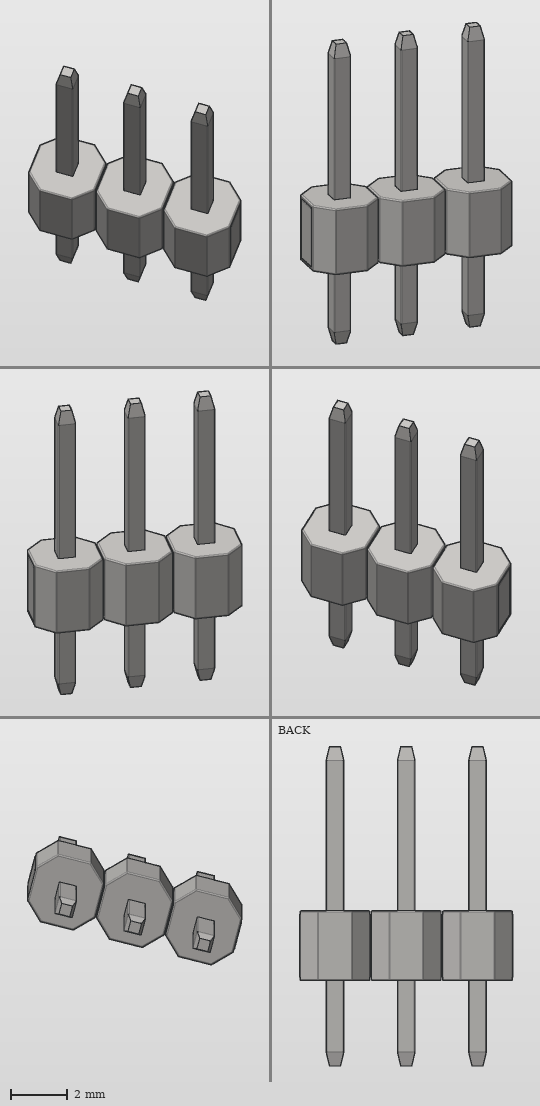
import cadquery as cq

unit_count = 3
pitch = 2.54

block_depth = 2.54
block_height = 2.5
corner_cut = 0.64
block_fillet = 0.05

pad_thickness = 0.025
pad_fillet = 0.02
pad_width = 1.03
pad_margin = 0.13
pad_height = block_height - 2 * pad_margin
block_width = pitch - 2 * pad_thickness

pin_length = 11.39
pin_below_block = 3.04
pin_width = 0.64
pin_fillet = 0.03
tip_width = 0.4
tip_length = 0.5
shank_length = pin_length - 2 * tip_length


def make_block():
    """Octagonal block standing on Z = 0, with all its edges rounded."""
    block = cq.Workplane("XY").rect(block_width, block_depth).extrude(block_height)
    block = block.edges("|Z").chamfer(corner_cut)
    return block.edges().fillet(block_fillet)


def make_pads():
    """Bar running through the block, so that a rounded pad stands out at each end."""
    bar = cq.Workplane("XY").box(pitch, pad_width, pad_height)
    bar = bar.faces("<X or >X").edges().fillet(pad_fillet)
    return bar.translate((0, 0, block_height / 2))


def make_pin():
    """Square shank with rounded long edges and a tapered tip at each end."""
    shank_bottom = tip_length - pin_below_block
    shank = cq.Workplane("XY", origin=(0, 0, shank_bottom)).rect(pin_width, pin_width).extrude(shank_length)
    top_tip = (
        shank.faces(">Z").workplane()
        .rect(pin_width, pin_width)
        .workplane(offset=tip_length)
        .rect(tip_width, tip_width)
        .loft(combine=False)
    )
    shank_middle = (0, 0, shank_bottom + shank_length / 2)
    bottom_tip = top_tip.mirror("XY", shank_middle)
    sharp_pin = shank.union(top_tip).union(bottom_tip)
    rounded_bar = (
        cq.Workplane("XY", origin=(0, 0, -pin_below_block))
        .rect(pin_width, pin_width)
        .extrude(pin_length)
        .edges("|Z").fillet(pin_fillet)
    )
    return sharp_pin.intersect(rounded_bar)


def make_header_unit():
    """One body: block, end pads and pin in one piece, centred on the Z axis."""
    return make_block().union(make_pads()).union(make_pin())


header_unit = make_header_unit()
header_units = []
for index in range(unit_count):
    unit_x = (index - (unit_count - 1) / 2) * pitch
    header_units.append(header_unit.translate((unit_x, 0, 0)).val())

result = cq.Compound.makeCompound(header_units)